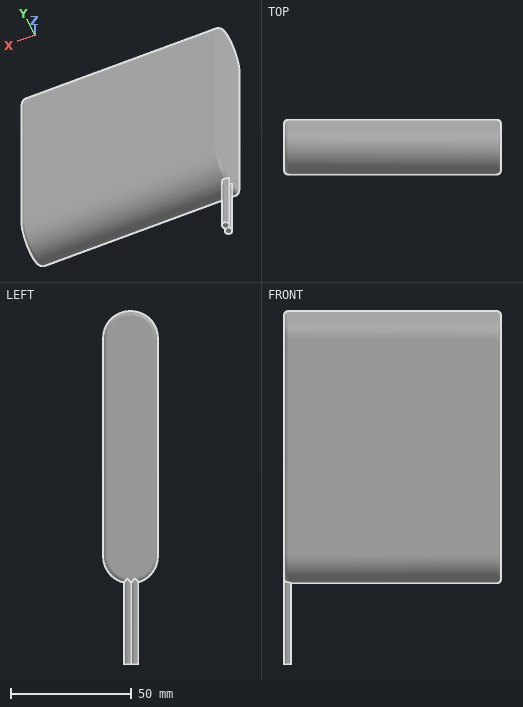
import cadquery as cq

total_height = 147.2
body_length = 90.5
body_thickness = 23.0
body_height = 113.5
edge_radius = 2.0
wire_diameter = 3.1
wire_pitch = 3.0
wire_pair_y = -0.3

wire_bottom = body_height / 2 - total_height
wire_top = edge_radius - body_height / 2


def make_body():
    """Upright pack with rounded top and bottom and softened end faces."""
    return (
        cq.Workplane("YZ")
        .slot2D(body_height, body_thickness, 90)
        .extrude(body_length / 2, both=True)
        .faces("<X or >X")
        .edges()
        .fillet(edge_radius)
    )


def make_wire(y):
    """Straight wire hanging below the body, flush with its -X end."""
    wire_x = (wire_diameter - body_length) / 2
    return (
        cq.Workplane("XY", origin=(wire_x, y, wire_bottom))
        .circle(wire_diameter / 2)
        .extrude(wire_top - wire_bottom)
    )


result = make_body()
for side in (-1, 1):
    result = result.union(make_wire(wire_pair_y + side * wire_pitch / 2))